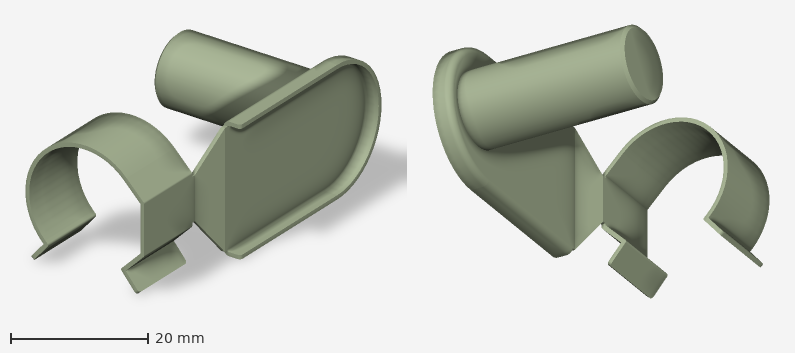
import cadquery as cq
import math

OVERALL_LENGTH = 53
SHEET = 0.7

TRAY_RADIUS = 11.0
TRAY_DEPTH = 3.0
TRAY_END_Y = -24.05
BEND_OUTER_RADIUS = 1.0
BEND_INNER_RADIUS = BEND_OUTER_RADIUS - SHEET
CORNER_RADIUS = 0.55

PIN_DIAMETER = 12.0
PIN_LENGTH = 28.0
PIN_Y = 2.95
PIN_CHAMFER = 0.5

CLIP_WIDTH = 12.0
CLIP_END_Y = TRAY_RADIUS - OVERALL_LENGTH
CLIP_START_Y = CLIP_END_Y + CLIP_WIDTH
CLIP_OUTER_RADIUS = 10.65
CLIP_MID_RADIUS = CLIP_OUTER_RADIUS - SHEET / 2
CLIP_CENTER_X = -12.05
CLIP_FLAT_X = -2.0
LEG_OVERRUN = 0.55
LIP_END_OFFSET = 9.55
LIP_END_Z = -10.75

TAPER_START_Y = -24.7
TAPER_END_Y = -29.35
TAPER_START_HALF_HEIGHT = 10.1
NECK_HALF_HEIGHT = 3.75


def tray_block(radius, start_x, end_y, bend_radius):
    """Round-ended block with a rounded edge on its -X face, except at the square end."""
    return (
        cq.Workplane("YZ", origin=(start_x, 0, 0))
        .moveTo(end_y, -radius)
        .lineTo(0, -radius)
        .threePointArc((radius, 0), (0, radius))
        .lineTo(end_y, radius)
        .close()
        .extrude(TRAY_DEPTH - start_x)
        .faces("<X").edges("not <Y")
        .fillet(bend_radius)
    )


def make_tray():
    outer = tray_block(TRAY_RADIUS, 0, TRAY_END_Y, BEND_OUTER_RADIUS)
    cavity = tray_block(TRAY_RADIUS - SHEET, SHEET, TRAY_END_Y - SHEET, BEND_INNER_RADIUS)
    tray = outer.cut(cavity)
    return tray.faces("<Y").edges(">X").fillet(CORNER_RADIUS)


def make_pin():
    return (
        cq.Workplane("YZ")
        .center(PIN_Y, 0)
        .circle(PIN_DIAMETER / 2)
        .extrude(-PIN_LENGTH)
        .faces("<X").edges()
        .chamfer(PIN_CHAMFER)
    )


def make_neck():
    """Bent strip profile, trimmed to the tapering outline."""
    strip = (
        cq.Workplane("XY")
        .polyline([
            (0, TRAY_END_Y),
            (0, TAPER_START_Y),
            (CLIP_FLAT_X, TAPER_END_Y),
            (CLIP_FLAT_X, CLIP_START_Y),
            (CLIP_FLAT_X + SHEET, CLIP_START_Y),
            (CLIP_FLAT_X + SHEET, TAPER_END_Y),
            (SHEET, TAPER_START_Y),
            (SHEET, TRAY_END_Y),
        ])
        .close()
        .extrude(TRAY_RADIUS, both=True)
    )
    outline = (
        cq.Workplane("YZ")
        .polyline([
            (TRAY_END_Y, TAPER_START_HALF_HEIGHT),
            (TAPER_START_Y, TAPER_START_HALF_HEIGHT),
            (TAPER_END_Y, NECK_HALF_HEIGHT),
            (CLIP_START_Y, NECK_HALF_HEIGHT),
            (CLIP_START_Y, -NECK_HALF_HEIGHT),
            (TAPER_END_Y, -NECK_HALF_HEIGHT),
            (TAPER_START_Y, -TAPER_START_HALF_HEIGHT),
            (TRAY_END_Y, -TAPER_START_HALF_HEIGHT),
        ])
        .close()
        .extrude(TRAY_DEPTH, both=True)
    )
    return strip.intersect(outline)


def clip_plane():
    """Clip cross-section plane, centred on the ring axis; extrusion runs towards -Y."""
    return cq.Workplane("XZ", origin=(CLIP_CENTER_X, CLIP_START_Y, 0))


def clip_strip(start, end):
    """Flat strip centred on the line from start to end."""
    run = end[0] - start[0]
    rise = end[1] - start[1]
    return (
        clip_plane()
        .center((start[0] + end[0]) / 2, (start[1] + end[1]) / 2)
        .transformed(rotate=(0, 0, math.degrees(math.atan2(rise, run))))
        .rect(math.hypot(run, rise), SHEET)
        .extrude(CLIP_WIDTH)
    )


def clip_bend(point):
    """Rounded joint between two strips."""
    return clip_plane().center(*point).circle(SHEET / 2).extrude(CLIP_WIDTH)


def clip_lip(side, apex):
    """Outward flared lip with rounded free corners; side is -1 or +1 along X."""
    lip = clip_strip(apex, (side * LIP_END_OFFSET, LIP_END_Z))
    direction = cq.Vector(side * LIP_END_OFFSET - apex[0], 0, LIP_END_Z - apex[1])
    tip = lip.faces(cq.selectors.DirectionMinMaxSelector(direction))
    return tip.edges("not |Y").fillet(CORNER_RADIUS)


def make_clip():
    diagonal = CLIP_MID_RADIUS * math.sqrt(0.5)
    inner_radius = CLIP_MID_RADIUS - SHEET / 2
    outer_diagonal = CLIP_OUTER_RADIUS * math.sqrt(0.5)
    inner_diagonal = inner_radius * math.sqrt(0.5)

    clip = (
        clip_plane()
        .moveTo(outer_diagonal, outer_diagonal)
        .threePointArc((-outer_diagonal, outer_diagonal), (-outer_diagonal, -outer_diagonal))
        .lineTo(-inner_diagonal, -inner_diagonal)
        .threePointArc((-inner_diagonal, inner_diagonal), (inner_diagonal, inner_diagonal))
        .close()
        .extrude(CLIP_WIDTH)
    )

    flat_x = CLIP_FLAT_X + SHEET / 2 - CLIP_CENTER_X
    flat_z = 2 * diagonal - flat_x
    overrun = LEG_OVERRUN * math.sqrt(0.5)
    apex_x = diagonal - overrun
    apex_z = -diagonal - overrun
    right_apex = (apex_x, apex_z)
    left_apex = (-apex_x, apex_z)
    path = [(diagonal, diagonal), (flat_x, flat_z), (flat_x, -flat_z), right_apex]
    for start, end in zip(path, path[1:]):
        clip = clip.union(clip_strip(start, end)).union(clip_bend(end))

    clip = clip.union(clip_strip((-diagonal, -diagonal), left_apex)).union(clip_bend(left_apex))
    return clip.union(clip_lip(1, right_apex)).union(clip_lip(-1, left_apex))


result = make_tray().union(make_pin()).union(make_neck()).union(make_clip())